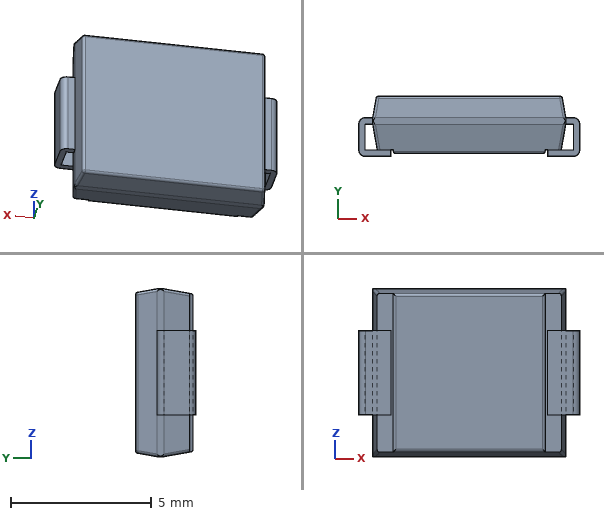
import cadquery as cq
import math

overall_length = 7.9
overall_height = 2.16
body_length = 6.9
body_width = 6.0
body_bottom = 0.235
draft_angle = 10.0
corner_radius = 0.1

lead_thickness = 0.24
lead_wall = 0.23
lead_width = 3.0
lead_top = 1.39
foot_length = 1.15
lead_bend_radius = lead_thickness
lead_embed = 0.3

pad_length = 5.43
pad_bottom = 0.1
pad_edge_radius = 0.1

draft_slope = math.tan(math.radians(draft_angle))
parting_height = lead_top - lead_thickness / 2
ridge_offset = draft_slope * lead_thickness / 2
ridge_length = body_length + 2 * ridge_offset
ridge_width = body_width + 2 * ridge_offset


def drafted_half(height, direction):
    """Half of the body, tapering from the parting plane along +Y (1) or -Y (-1)."""
    plane = cq.Plane(origin=(0, parting_height, 0), xDir=(1, 0, 0), normal=(0, direction, 0))
    return cq.Workplane(plane).rect(ridge_length, ridge_width).extrude(height, taper=draft_angle)


def round_corners(half):
    """Round the four sloping corner edges of a drafted half."""
    return half.edges("not(#Y)").fillet(corner_radius)


def make_body():
    """Two drafted halves whose sharp ridge is trimmed flat to form the belt."""
    upper = round_corners(drafted_half(overall_height - parting_height, 1))
    upper = upper.faces(">Y").edges().fillet(corner_radius)
    lower = round_corners(drafted_half(parting_height - body_bottom, -1))
    trim_box = cq.Workplane("XY").box(body_length, 2 * overall_height, body_width)
    return upper.union(lower).intersect(trim_box)


def make_pad():
    """Pad below the body: its long sides continue the body's draft, its ends are upright."""
    end_trim = cq.Workplane("XY").box(pad_length, 2 * parting_height, body_width)
    pad = drafted_half(parting_height - pad_bottom, -1).intersect(end_trim)
    return pad.faces("<Y").edges().fillet(pad_edge_radius)


def make_lead():
    """C-shaped lead on the -X side: upper arm, outer wall and foot."""
    outer_x = -overall_length / 2
    wall_x = outer_x + lead_wall
    foot_end_x = outer_x + foot_length
    arm_end_x = -body_length / 2 + lead_embed
    profile = [
        (outer_x, 0),
        (foot_end_x, 0),
        (foot_end_x, lead_thickness),
        (wall_x, lead_thickness),
        (wall_x, lead_top - lead_thickness),
        (arm_end_x, lead_top - lead_thickness),
        (arm_end_x, lead_top),
        (outer_x, lead_top),
    ]
    lead = cq.Workplane("XY").polyline(profile).close().extrude(lead_width / 2, both=True)
    return lead.faces("<X").edges("|Z").fillet(lead_bend_radius)


left_lead = make_lead()
right_lead = left_lead.mirror("YZ")

result = make_body().union(make_pad()).union(left_lead).union(right_lead)